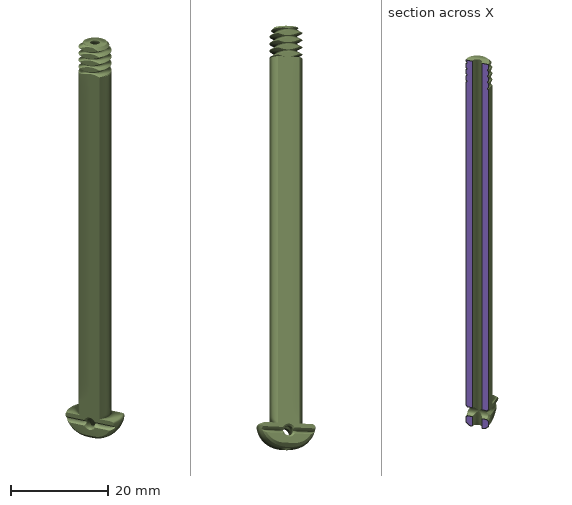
import cadquery as cq
import math

total_length = 88.1
head_width = 12.2
thickness = 5.0

head_height = 4.9
head_bottom_radius = 1.1
head_lip_radius = 0.5
head_chamfer = 0.8
plate_margin = 0.3
groove_z = 3.4
groove_depth = 0.8
groove_half_height = 0.6
hole_diameter = 2.0
hole_rim_width = 0.35

shank_diameter = 6.8
thread_length = 6.4
thread_pitch = 1.5
thread_core_diameter = 4.6
thread_tip_diameter = 5.0
thread_crest_width = 0.1
thread_root_gap = 0.04
thread_first_crest = 0.2
thread_overlap = 0.1

head_radius = head_width / 2
half_thickness = thickness / 2
hole_radius = hole_diameter / 2
shoulder_z = total_length - thread_length


def make_flats(base_z, height):
    """Slab between the two flats, used to trim round stock."""
    slab = cq.Workplane("XY", origin=(0, 0, base_z))
    return slab.box(2 * head_width, thickness, height, centered=(True, True, False))


def make_head():
    """Round button with a rounded underside, sliced by a chamfered plate of the same outline."""
    lip_z = head_height - head_lip_radius
    lip_middle = head_lip_radius * math.sqrt(0.5)
    button = (
        cq.Workplane("XZ")
        .lineTo(head_bottom_radius, 0)
        .tangentArcPoint((head_radius, lip_z), relative=False)
        .threePointArc(
            (head_radius - head_lip_radius + lip_middle, lip_z + lip_middle),
            (head_radius - head_lip_radius, head_height),
        )
        .lineTo(0, head_height)
        .close()
        .revolve(360, (0, 0, 0), (0, 1, 0))
    )
    plate = (
        cq.Workplane("XZ", origin=(0, half_thickness, 0))
        .lineTo(head_bottom_radius, 0)
        .tangentArcPoint((head_radius, lip_z), relative=False)
        .lineTo(0, lip_z)
        .mirrorY()
        .offset2D(plate_margin)
        .extrude(thickness)
        .faces("<Y or >Y")
        .chamfer(head_chamfer + plate_margin)
    )
    plate = plate.intersect(make_flats(-plate_margin, groove_z + plate_margin))
    return button.intersect(plate.union(make_flats(groove_z, head_height)))


def make_threaded_tip():
    """Round core with a helical ridge, trimmed by the flats and a lead-in cone."""
    core_radius = thread_core_diameter / 2
    crest_radius = shank_diameter / 2
    inner_radius = core_radius - thread_overlap
    half_crest = thread_crest_width / 2
    half_root = (thread_pitch - thread_root_gap) / 2
    helix = cq.Wire.makeHelix(thread_pitch, thread_length + 2 * thread_pitch, crest_radius)
    ridge = (
        cq.Workplane("XZ")
        .polyline([
            (inner_radius, -half_root),
            (crest_radius, -half_crest),
            (crest_radius, half_crest),
            (inner_radius, half_root),
        ])
        .close()
        .sweep(cq.Workplane(obj=helix), isFrenet=True)
        .translate((0, 0, shoulder_z + thread_first_crest - thread_pitch))
    )
    ridge = ridge.intersect(make_flats(shoulder_z, thread_length))
    core = cq.Workplane("XY", origin=(0, 0, shoulder_z)).circle(core_radius).extrude(thread_length)
    tip_radius = thread_tip_diameter / 2
    lead_in = cq.Solid.makeCone(tip_radius + thread_length, tip_radius, thread_length)
    lead_in = cq.Workplane(obj=lead_in).translate((0, 0, shoulder_z))
    return core.union(ridge.intersect(lead_in))


def make_bar():
    """Round bar with two flats, running down into the head."""
    bar = cq.Workplane("XY", origin=(0, 0, groove_z)).circle(shank_diameter / 2)
    bar = bar.extrude(shoulder_z - groove_z)
    return bar.intersect(make_flats(groove_z, shoulder_z - groove_z))


def make_groove(side):
    """V-groove across one broad face of the head."""
    face_y = side * half_thickness
    return (
        cq.Workplane("YZ", origin=(-head_radius, 0, 0))
        .polyline([
            (face_y, groove_z - groove_half_height),
            (face_y - side * groove_depth, groove_z),
            (face_y, groove_z + groove_half_height),
        ])
        .close()
        .extrude(head_width)
    )


def make_hole_rim(side):
    """Bevel at one mouth of the cross hole."""
    rim = cq.Solid.makeCone(
        hole_radius + hole_rim_width, hole_radius, hole_rim_width,
        pnt=cq.Vector(0, side * half_thickness, groove_z), dir=cq.Vector(0, -side, 0))
    return cq.Workplane(obj=rim)


cross_hole = (
    cq.Workplane("XZ", origin=(0, half_thickness, groove_z))
    .circle(hole_radius)
    .extrude(thickness)
)
bore = cq.Workplane("XY").circle(hole_radius).extrude(total_length)

result = make_head().union(make_bar()).union(make_threaded_tip())
for side in (-1, 1):
    result = result.cut(make_groove(side)).cut(make_hole_rim(side))
result = result.cut(cross_hole).cut(bore)